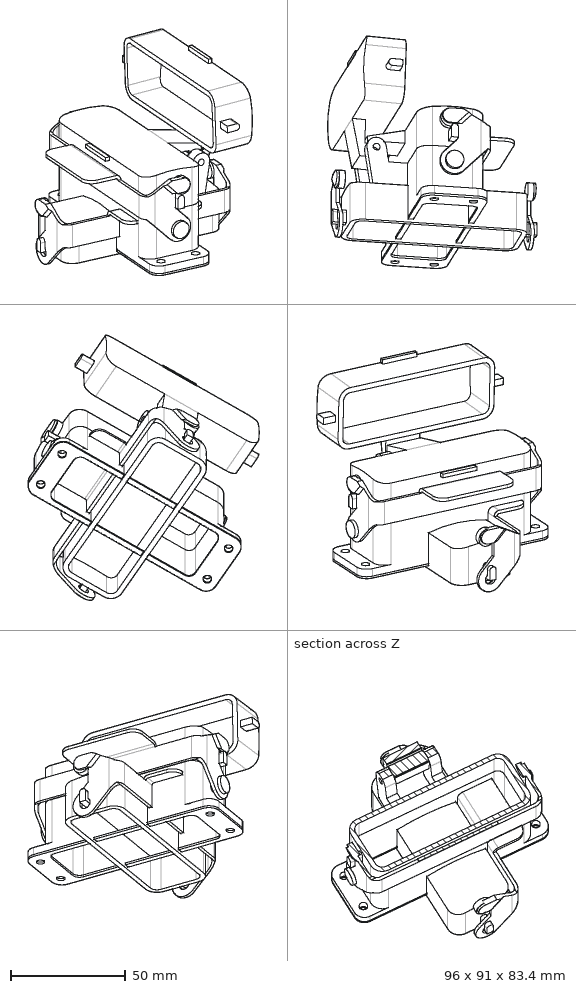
import cadquery as cq
import math


body_length = 78.9
body_width = 29.4
body_corner_radius = 5.8
wall = 2.4

flange_length = 96.0
flange_corner_radius = 5.0
flange_top = 4.5
gasket_thickness = 1.0
screw_hole_diameter = 3.6
screw_spacing_x = 86.0
screw_spacing_y = 17.5

housing_top = 26.0
pivot_z = 18.3
pin_diameter = 4.7
pivot_head_diameter = 8.0
pivot_head_thickness = 1.6
pivot_tip_x = 45.5

hinge_y = 28.5
hinge_z = 32.7
hinge_hole_diameter = 3.0
ear_radius = 4.3
ear_lean = 9.0
ear_outer_x = 13.9
arm_half_width = 8.6

cover_height = 18.7
dome_rise = 1.7
roof_thickness = 1.7
peg_base = 2.5
peg_width = 3.2
peg_height = 6.2
peg_tip_x = 45.5
lug_reach = 2.1
lug_thickness = 1.7
lug_drop = 0.3
arm_end_thickness = 2.1
knuckle_half_width = 3.1
closed_knuckle_gap = 3.4
open_angle = 88.0

hood_bottom = -1.4
lower_lever_drop = 17.4

lever_thickness = 1.5
lever_half_span = 43.4
lever_front_y = -17.1
lever_bend_radius = 5.0
lever_eye_radius = 6.0
lever_bore_diameter = 5.0
strap_bottom = 6.9
strap_top = 17.8
neck_y = -1.6
finger_bottom = 17.2
finger_height = 6.6
finger_round_y = 1.8
finger_outer_x = 44.4
shoulder_y = -3.9
shoulder_slope = 28.5
ramp_start = 9.8
ramp_end = 11.3
knob_diameter = 8.0
knob_inner_x = 40.7
handle_half_width = 19.9
handle_end_y = -32.5
handle_bend_radius = 1.0
handle_corner_radius = 5.0

half_length = body_length / 2
half_width = body_width / 2
dome_radius = (half_width**2 + dome_rise**2) / (2 * dome_rise)
cover_edge_height = cover_height - dome_rise
hinge_height = hinge_z - housing_top


def rounded_block(length, width, radius, bottom, top):
    """Upright block with rounded vertical edges, centred on the Z axis."""
    block = cq.Workplane("XY").workplane(offset=bottom).rect(length, width).extrude(top - bottom)
    return block.edges("|Z").fillet(radius)


def rounded_tube(length, width, radius, bottom, top):
    """Block with the housing cavity through it."""
    cavity = rounded_block(
        body_length - 2 * wall, body_width - 2 * wall, body_corner_radius - wall, bottom, top
    )
    return rounded_block(length, width, radius, bottom, top).cut(cavity)


def domed_block(inset, roof):
    """Cover envelope from Z = 0 up, shrunk by inset on the sides and by roof under the dome."""
    side = half_width - inset
    radius = dome_radius - roof
    top = cover_height - roof
    edge = cover_height - dome_radius + math.sqrt(radius**2 - side**2)
    block = rounded_block(
        body_length - 2 * inset, 2 * side, body_corner_radius - inset, 0, cover_height
    )
    dome = (
        cq.Workplane("YZ")
        .moveTo(-side, 0)
        .lineTo(-side, edge)
        .threePointArc((0, top), (side, edge))
        .lineTo(side, 0)
        .close()
        .extrude(half_length, both=True)
    )
    return block.intersect(dome)


def peg_bar():
    """Round-topped bar along X whose ends form the two locking pegs."""
    half_peg = peg_width / 2
    straight = peg_height - half_peg
    return (
        cq.Workplane("YZ")
        .moveTo(-half_peg, peg_base)
        .lineTo(-half_peg, peg_base + straight)
        .threePointArc((0, peg_base + peg_height), (half_peg, peg_base + straight))
        .lineTo(half_peg, peg_base)
        .close()
        .extrude(peg_tip_x, both=True)
    )


def make_shell():
    """Hollow domed shell, open at the bottom, with a locking peg at each end."""
    return domed_block(0, 0).union(peg_bar()).cut(domed_block(wall, roof_thickness))


def front_lug():
    """Lug under the dome edge on the -Y side."""
    lug_bottom = cover_edge_height - lug_drop - lug_thickness
    lug = cq.Workplane("XY").box(
        2 * arm_half_width, lug_reach + wall / 2, lug_thickness, centered=(True, False, False)
    )
    return lug.translate((0, -half_width - lug_reach, lug_bottom))


def hinge_arm(knuckle_bottom):
    """Arm that tapers back to the hinge, with a knuckle reaching down to knuckle_bottom."""
    arm_bottom = hinge_height + ear_radius
    knuckle_front = hinge_y - knuckle_half_width
    knuckle_back = hinge_y + knuckle_half_width
    root = half_width - wall / 2
    return (
        cq.Workplane("YZ")
        .polyline(
            [
                (root, arm_bottom),
                (knuckle_front, arm_bottom),
                (knuckle_front, knuckle_bottom),
                (knuckle_back, knuckle_bottom),
                (knuckle_back, arm_bottom + arm_end_thickness),
                (half_width, cover_edge_height),
                (root, cover_edge_height),
            ]
        )
        .close()
        .extrude(arm_half_width, both=True)
    )


def make_cover(knuckle_bottom):
    return make_shell().union(front_lug()).union(hinge_arm(knuckle_bottom))


def lever_outline():
    """Side outline of the lever in YZ, spread over the whole X range."""
    tangent = lever_eye_radius / math.sqrt(2)
    finger_top = finger_bottom + finger_height
    finger_middle = finger_bottom + finger_height / 2
    shoulder_end_y = shoulder_y - (finger_top - strap_top) / math.tan(math.radians(shoulder_slope))
    return (
        cq.Workplane("YZ")
        .moveTo(tangent, tangent)
        .lineTo(neck_y, 2 * tangent - neck_y)
        .lineTo(neck_y, finger_bottom)
        .lineTo(finger_round_y, finger_bottom)
        .threePointArc((finger_round_y + finger_height / 2, finger_middle), (finger_round_y, finger_top))
        .lineTo(shoulder_y, finger_top)
        .lineTo(shoulder_end_y, strap_top)
        .lineTo(lever_front_y, strap_top)
        .lineTo(lever_front_y, strap_bottom)
        .lineTo(-2 * tangent - strap_bottom, strap_bottom)
        .lineTo(-tangent, -tangent)
        .threePointArc((tangent, -tangent), (tangent, tangent))
        .close()
        .extrude(finger_outer_x, both=True)
    )


def lever_strip():
    """Tall U-shaped strip, open on the +Y side."""
    depth = 2 * abs(lever_front_y)
    outer = cq.Workplane("XY").rect(2 * lever_half_span, depth).extrude(2 * depth, both=True)
    outer = outer.edges("|Z and <Y").fillet(lever_bend_radius)
    inner = (
        cq.Workplane("XY")
        .rect(2 * (lever_half_span - lever_thickness), depth - 2 * lever_thickness)
        .extrude(2 * depth, both=True)
        .edges("|Z and <Y")
        .fillet(lever_bend_radius - lever_thickness)
    )
    opening = inner.union(inner.translate((0, 2 * lever_thickness, 0)))
    return outer.cut(opening)


def lever_finger(side):
    """Thickened finger end with a ramp down to the side plate, and the round knob inside it."""
    inner_x = lever_half_span - lever_thickness
    reach = 2 * finger_height + ramp_end
    ramp_plane = cq.Plane(origin=(0, 0, 0), xDir=(1, 0, 0), normal=(0, -1, 1))
    ramp = (
        cq.Workplane(ramp_plane)
        .polyline(
            [
                (side * inner_x, ramp_start),
                (side * lever_half_span, ramp_start),
                (side * finger_outer_x, ramp_end),
                (side * finger_outer_x, reach),
                (side * inner_x, reach),
            ]
        )
        .close()
        .extrude(reach, both=True)
    )
    above_neck = (
        cq.Workplane("XY")
        .workplane(offset=finger_bottom)
        .rect(4 * lever_half_span, 4 * lever_half_span)
        .extrude(finger_height)
    )
    knob_radius = knob_diameter / 2
    knob = (
        cq.Workplane("YZ")
        .workplane(offset=side * knob_inner_x)
        .center(finger_round_y, finger_bottom + finger_height - knob_radius)
        .circle(knob_radius)
        .extrude(side * (lever_half_span - knob_inner_x))
    )
    return lever_outline().intersect(ramp).intersect(above_neck).union(knob)


def lever_handle():
    """Flat handle that bends forward from the top of the strap."""
    inner = handle_bend_radius
    outer = inner + lever_thickness
    middle = (inner + outer) / 2
    strap_back = lever_front_y + lever_thickness
    bend_y = lever_front_y - inner
    handle = (
        cq.Workplane("YZ")
        .moveTo(lever_front_y, strap_top - middle)
        .lineTo(lever_front_y, strap_top)
        .radiusArc((bend_y, strap_top + inner), -inner)
        .lineTo(handle_end_y, strap_top + inner)
        .lineTo(handle_end_y, strap_top + outer)
        .lineTo(bend_y, strap_top + outer)
        .radiusArc((strap_back, strap_top), outer)
        .lineTo(strap_back, strap_top - middle)
        .close()
        .extrude(handle_half_width, both=True)
    )
    return handle.edges("|Z and <Y").fillet(handle_corner_radius)


def make_lever():
    """Locking lever with its pivot axis on X and its handle toward -Y."""
    lever = lever_strip().intersect(lever_outline()).union(lever_handle())
    for side in (-1, 1):
        lever = lever.union(lever_finger(side))
    pivot_bore = cq.Workplane("YZ").circle(lever_bore_diameter / 2).extrude(lever_half_span, both=True)
    return lever.cut(pivot_bore)


def screw_holes():
    return (
        cq.Workplane("XY")
        .rect(screw_spacing_x, screw_spacing_y, forConstruction=True)
        .vertices()
        .circle(screw_hole_diameter / 2)
        .extrude(flange_top)
    )


def pivot_pin(side):
    """Headed pin that carries one end of the upper lever."""
    wall_x = half_length - wall / 2
    shaft = (
        cq.Workplane("YZ")
        .workplane(offset=side * wall_x)
        .center(0, pivot_z)
        .circle(pin_diameter / 2)
        .extrude(side * (pivot_tip_x - wall_x))
    )
    head = (
        cq.Workplane("YZ")
        .workplane(offset=side * (pivot_tip_x - pivot_head_thickness))
        .center(0, pivot_z)
        .circle(pivot_head_diameter / 2)
        .extrude(side * pivot_head_thickness)
    )
    return shaft.union(head)


def hinge_ear(side):
    """Leaning post with a round bored end, joined to the housing by a web."""
    post_length = hinge_z - flange_top
    thickness = ear_outer_x - arm_half_width
    start = cq.Workplane("YZ").workplane(offset=side * arm_half_width)
    post = start.center(hinge_y, hinge_z - post_length / 2).rect(2 * ear_radius, post_length)
    post = post.extrude(side * thickness)
    post = post.rotate((0, hinge_y, hinge_z), (1, hinge_y, hinge_z), -ear_lean)
    knuckle = start.center(hinge_y, hinge_z).circle(ear_radius).extrude(side * thickness)
    root = half_width - wall / 2
    web_end = hinge_y - ear_radius
    web = (
        start.center((root + web_end) / 2, (flange_top + housing_top) / 2)
        .rect(web_end - root, housing_top - flange_top)
        .extrude(side * thickness)
    )
    bore = start.center(hinge_y, hinge_z).circle(hinge_hole_diameter / 2).extrude(side * thickness)
    return post.union(knuckle).union(web).cut(bore)


def make_housing():
    """Open frame with mounting flange, hinge ears and pivot pins."""
    frame = rounded_tube(
        body_length, body_width, body_corner_radius, gasket_thickness, housing_top
    )
    flange = rounded_tube(
        flange_length, body_width, flange_corner_radius, gasket_thickness, flange_top
    )
    housing = frame.union(flange).cut(screw_holes())
    for side in (-1, 1):
        housing = housing.union(pivot_pin(side)).union(hinge_ear(side))
    return housing


def place_across(shape, z):
    """Turn a part so that its front faces +X, and lift it to z."""
    return shape.rotate((0, 0, 0), (0, 0, 1), 90).translate((0, 0, z))


gasket = rounded_tube(
    flange_length, body_width, flange_corner_radius, 0, gasket_thickness
).cut(screw_holes())

hood = place_across(make_shell(), hood_bottom).cut(gasket)

lower_lever = place_across(make_lever(), pivot_z - lower_lever_drop)
lower_lever = lower_lever.cut(place_across(peg_bar(), hood_bottom))

housing = make_housing().cut(place_across(domed_block(0, 0), hood_bottom)).cut(lower_lever)

closed_cover = make_cover(hinge_height + closed_knuckle_gap).translate((0, 0, housing_top))

upper_lever = make_lever().translate((0, 0, pivot_z)).cut(closed_cover)

open_cover = (
    make_cover(hinge_height - knuckle_half_width)
    .translate((0, 0, housing_top))
    .rotate((0, hinge_y, hinge_z), (1, hinge_y, hinge_z), -open_angle)
)

result = cq.Compound.makeCompound(
    [
        gasket.val(),
        housing.val(),
        hood.val(),
        closed_cover.val(),
        open_cover.val(),
        upper_lever.val(),
        lower_lever.val(),
    ]
)